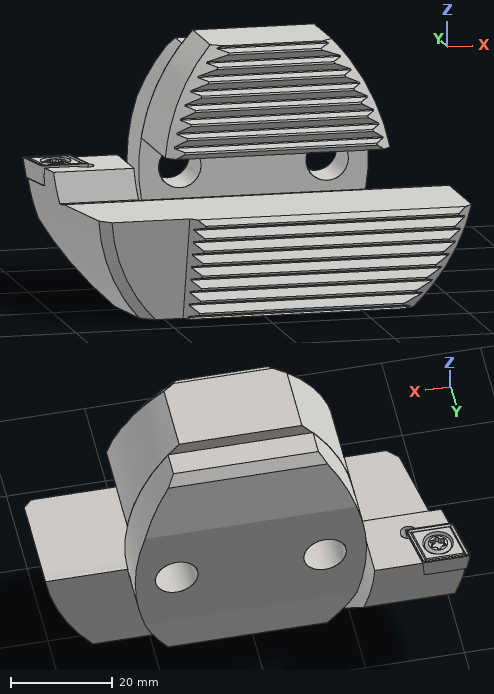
import cadquery as cq
import math


side_radius = 40.0
bridge_half_width = 23.4

jaw_inner_z = 6.2
jaw_outer_z = 27.5
jaw_height = jaw_outer_z - jaw_inner_z
tip_y = -23.45
face_tilt = math.radians(15)

tooth_count = 8
tooth_pitch = jaw_height / math.cos(face_tilt) / tooth_count
groove_depth = 1.8
groove_floor = 0.25
groove_overcut = 0.8
groove_flank = math.radians(30)
serrated_bevel = 3.05

bridge_depth = 10.0
bridge_half_height = 24.9
bridge_taper_z = 12.4
bridge_taper = math.radians(15)
bridge_corner = 1.9
hole_spacing = 30.0
hole_diameter = 8.6

lead_angle = math.radians(10)
lead_apex_x = -39.7
pad_height = 2.65
pad_end_x = -18.0
nose_bevel_side = 2.2
nose_bevel_front = 1.7
back_y = 15.9
back_relief = math.radians(7)
back_chamfer_z = -12.2
block_top_z = -0.4
block_wall_y = 0.6
block_wall_tilt = math.radians(16)
bridge_clearance = 0.4

relief_depth = 0.25
relief_start_y = -0.6
relief_end_y = -1.6

insert_x = -37.5
insert_y = 11.5
insert_size = 9.5
insert_thickness = 4.05
insert_relief = 7
insert_corner_radius = 0.25
mouth_diameter = 6.0
land_width = 0.25
breaker_ramp = 0.5
breaker_wall = 0.25
breaker_depth = 0.2

corner_relief_x = -32.45
corner_relief_y = 7.2
relief_top_radius = 1.65
relief_bottom_radius = 0.4

head_diameter = 5.4
head_top_diameter = 3.8
shank_diameter = 3.5
head_top_z = -0.1
head_rim_z = -0.6
head_base_z = -1.6
shank_end_z = -8.9
socket_diameter = 2.5
lobe_diameter = 0.75
lobe_count = 6
first_lobe_angle = 90
socket_depth = 1.2

reach = 99.1


def side_x(z):
    """Half width of the barrel-shaped outline at height z."""
    return math.sqrt(side_radius**2 - z**2) - side_radius + bridge_half_width


def barrel(z_low, z_high, y_front, depth):
    """Slice of the barrel-shaped outline, from y_front towards +Y."""
    z_mid = (z_low + z_high) / 2
    return (
        cq.Workplane("XZ", origin=(0, y_front, 0))
        .moveTo(-side_x(z_low), z_low)
        .lineTo(side_x(z_low), z_low)
        .threePointArc((side_x(z_mid), z_mid), (side_x(z_high), z_high))
        .lineTo(-side_x(z_high), z_high)
        .threePointArc((-side_x(z_mid), z_mid), (-side_x(z_low), z_low))
        .close()
        .extrude(-depth)
    )


def prism(points):
    """Long prism along X on a YZ polygon."""
    return cq.Workplane("YZ").polyline(points).close().extrude(reach, both=True)


def face_y(z, depth=0):
    """Y of the tilted front face at height z, a given depth below the tooth tips."""
    return tip_y + (abs(z) - jaw_inner_z) * math.tan(face_tilt) + depth / math.cos(face_tilt)


def face_point(along, depth):
    """(y, z) at a distance up the upper jaw's face and a depth below the tooth tips."""
    y = tip_y + along * math.sin(face_tilt) + depth * math.cos(face_tilt)
    z = jaw_inner_z + along * math.cos(face_tilt) - depth * math.sin(face_tilt)
    return y, z


def serration_grooves():
    """V grooves that leave the upper jaw's teeth, one cutting prism per groove."""
    floor_half = groove_floor / 2
    mouth_half = floor_half + (groove_depth + groove_overcut) * math.tan(groove_flank)
    grooves = cq.Workplane("YZ")
    for index in range(tooth_count + 1):
        centre = index * tooth_pitch
        grooves.add(
            prism(
                [
                    face_point(centre - mouth_half, -groove_overcut),
                    face_point(centre - floor_half, groove_depth),
                    face_point(centre + floor_half, groove_depth),
                    face_point(centre + mouth_half, -groove_overcut),
                ]
            )
        )
    return grooves.combine()


def bevel_edge(body, point, length, second_length=None):
    """Chamfer the edge nearest to a point; a second length makes it unequal."""
    return body.edges(cq.NearestToPointSelector(point)).chamfer(length, second_length)


def make_upper_jaw():
    """Barrel slice with a tilted, beveled and serrated front."""
    jaw = barrel(jaw_inner_z, jaw_outer_z, tip_y, -tip_y)
    in_front = prism(
        [
            (-reach, jaw_inner_z),
            (face_y(jaw_inner_z), jaw_inner_z),
            (face_y(jaw_outer_z), jaw_outer_z),
            (-reach, jaw_outer_z),
        ]
    )
    jaw = jaw.cut(in_front)
    z_mid = (jaw_inner_z + jaw_outer_z) / 2
    for side in (-1, 1):
        jaw = bevel_edge(jaw, (side * side_x(z_mid), face_y(z_mid), z_mid), serrated_bevel)
    return jaw.cut(serration_grooves())


def make_bridge():
    """Barrel plate with a back that tapers and is beveled at top and bottom."""
    bridge = barrel(-bridge_half_height, bridge_half_height, 0, bridge_depth)
    corner_z = bridge_half_height - bridge_corner
    corner_y = bridge_depth - (corner_z - bridge_taper_z) * math.tan(bridge_taper)
    upper = [
        (bridge_depth, bridge_taper_z),
        (corner_y, corner_z),
        (corner_y - bridge_corner, bridge_half_height),
        (0, bridge_half_height),
    ]
    lower = [(y, -z) for y, z in reversed(upper)]
    bridge = bridge.intersect(prism(upper + lower))
    holes = (
        cq.Workplane("XZ")
        .rarray(hole_spacing, 0.8, 2, 1)
        .circle(hole_diameter / 2)
        .extrude(-bridge_depth)
    )
    return bridge.cut(holes)


def make_holder_blank():
    """Holder cross-section with the insert block, and the raised pad for the serrations."""
    top_z = -jaw_inner_z
    floor_z = top_z - relief_depth
    bottom_z = -jaw_outer_z
    base_top_y = face_y(top_z, pad_height)
    base_bottom_y = face_y(bottom_z, pad_height)
    chamfer_y = back_y + back_chamfer_z * math.tan(back_relief)
    core = prism(
        [
            (base_top_y, top_z),
            (relief_end_y, top_z),
            (relief_start_y, floor_z),
            (block_wall_y, floor_z),
            (block_wall_y + (block_top_z - floor_z) * math.tan(block_wall_tilt), block_top_z),
            (back_y + block_top_z * math.tan(back_relief), block_top_z),
            (chamfer_y, back_chamfer_z),
            (chamfer_y - (back_chamfer_z - bottom_z), bottom_z),
            (base_bottom_y, bottom_z),
        ]
    )
    pad = prism(
        [
            (base_top_y, top_z),
            (face_y(top_z), top_z),
            (face_y(bottom_z), bottom_z),
            (base_bottom_y, bottom_z),
        ]
    )
    wall_plane = cq.Plane(
        origin=(pad_end_x, base_top_y, top_z),
        xDir=(1, 0, 0),
        normal=(0, math.sin(face_tilt), -math.cos(face_tilt)),
    )
    beyond_pad = (
        cq.Workplane(wall_plane)
        .polyline([(0, 0), (reach, reach), (-reach, reach), (-reach, 0)])
        .close()
        .extrude(reach, both=True)
    )
    return core.union(pad.cut(beyond_pad))


def rounded_end(plane, facing):
    """Long bar along the plane's normal, flat-sided but rounded off towards facing (+1 or -1)."""
    return (
        cq.Workplane(plane)
        .moveTo(-facing * reach, -side_radius)
        .lineTo(0, -side_radius)
        .threePointArc((facing * side_radius, 0), (0, side_radius))
        .lineTo(-facing * reach, side_radius)
        .close()
        .extrude(reach, both=True)
    )


def shape_holder_ends(blank):
    """Round both ends of the holder and bevel their front edges."""
    lead_plane = cq.Plane(
        origin=(lead_apex_x + side_radius / math.cos(lead_angle), 0, 0),
        xDir=(math.cos(lead_angle), math.sin(lead_angle), 0),
        normal=(math.sin(lead_angle), -math.cos(lead_angle), 0),
    )
    holder = blank.intersect(rounded_end("XZ", 1)).intersect(rounded_end(lead_plane, -1))

    z_mid = -(jaw_inner_z + jaw_outer_z) / 2
    arc_x = math.sqrt(side_radius**2 - z_mid**2)
    holder = bevel_edge(holder, (arc_x, face_y(z_mid), z_mid), serrated_bevel)

    nose_y = face_y(z_mid, pad_height)
    nose_apex_x = lead_apex_x - nose_y * math.tan(lead_angle)
    nose_x = nose_apex_x + (side_radius - arc_x) / math.cos(lead_angle)
    return bevel_edge(holder, (nose_x, nose_y, z_mid), nose_bevel_front, nose_bevel_side)


def bridge_space():
    """Room behind the joint for the bridge, with clearance along its curved side."""
    arc_centre_x = side_radius - bridge_half_width
    curved = (
        cq.Workplane("XZ", origin=(arc_centre_x, 0, 0))
        .circle(side_radius + bridge_clearance)
        .extrude(-reach)
    )
    beyond = cq.Workplane("XY").box(reach, reach, reach, centered=(False, False, True))
    return curved.union(beyond)


def revolve_at_insert(profile):
    """Turn an (r, z) profile about the insert's vertical axis."""
    return (
        cq.Workplane("XZ", origin=(insert_x, insert_y, 0))
        .polyline(profile)
        .close()
        .revolve(360, (0, 0, 0), (0, 1, 0))
    )


def rhombus_prism(inset, height, taper):
    """Downward prism on the insert's 80 degree rhombus, its edges moved in by inset."""
    half_y = insert_size / 2 - inset
    half_edge = half_y / math.cos(lead_angle)
    slant = half_y * math.tan(lead_angle)
    corners = [
        (-half_edge - slant, half_y),
        (half_edge - slant, half_y),
        (half_edge + slant, -half_y),
        (-half_edge + slant, -half_y),
    ]
    return (
        cq.Workplane("XY", origin=(insert_x, insert_y, 0))
        .polyline(corners)
        .close()
        .extrude(-height, taper=taper)
    )


def make_insert_blank():
    """Insert without its details; it also cuts its own seat in the holder."""
    blank = rhombus_prism(0, insert_thickness, insert_relief)
    return blank.edges("not #Z").fillet(insert_corner_radius)


def make_insert():
    """Rhombic insert with a chip-breaker groove and a countersunk hole."""
    ramp_taper = math.degrees(math.atan(breaker_ramp / breaker_depth))
    wall_taper = math.degrees(math.atan(breaker_wall / breaker_depth))
    plateau_inset = land_width + breaker_ramp + breaker_wall
    breaker = rhombus_prism(land_width, breaker_depth, ramp_taper).cut(
        rhombus_prism(plateau_inset, breaker_depth, -wall_taper)
    )
    hole = revolve_at_insert(
        [
            (0, 0),
            (mouth_diameter / 2, 0),
            (head_diameter / 2, head_rim_z),
            (shank_diameter / 2, head_base_z),
            (shank_diameter / 2, -insert_thickness),
            (0, -insert_thickness),
        ]
    )
    return make_insert_blank().cut(breaker).cut(hole)


def make_screw():
    """Countersunk screw with a six-lobed socket."""
    screw = revolve_at_insert(
        [
            (0, head_top_z),
            (head_top_diameter / 2, head_top_z),
            (head_diameter / 2, head_rim_z),
            (shank_diameter / 2, head_base_z),
            (shank_diameter / 2, shank_end_z),
            (0, shank_end_z),
        ]
    )
    socket_plane = cq.Workplane("XY", origin=(insert_x, insert_y, head_top_z))
    socket = socket_plane.circle(socket_diameter / 2).extrude(-socket_depth)
    lobes = (
        socket_plane.polarArray(socket_diameter / 2, first_lobe_angle, 360, lobe_count)
        .circle(lobe_diameter / 2)
        .extrude(-socket_depth)
    )
    return screw.cut(socket).cut(lobes)


def make_holder():
    """Lower jaw: serrated, cleared for the bridge, with the seat of the insert."""
    holder = shape_holder_ends(make_holder_blank())
    holder = holder.cut(bridge_space()).cut(serration_grooves().mirror("XY"))
    corner_relief = cq.Workplane("XY").add(
        cq.Solid.makeCone(
            relief_top_radius,
            relief_bottom_radius,
            insert_thickness + block_top_z,
            pnt=cq.Vector(corner_relief_x, corner_relief_y, block_top_z),
            dir=cq.Vector(0, 0, -1),
        )
    )
    shank_hole = (
        cq.Workplane("XY", origin=(insert_x, insert_y, 0))
        .circle(shank_diameter / 2)
        .extrude(shank_end_z)
    )
    return holder.cut(make_insert_blank()).cut(corner_relief).cut(shank_hole)


upper_jaw = make_upper_jaw()
bridge = make_bridge()
holder = make_holder()
insert = make_insert()
screw = make_screw()

result = cq.Compound.makeCompound(
    [
        upper_jaw.solids().val(),
        bridge.solids().val(),
        holder.solids().val(),
        insert.solids().val(),
        screw.solids().val(),
    ]
)